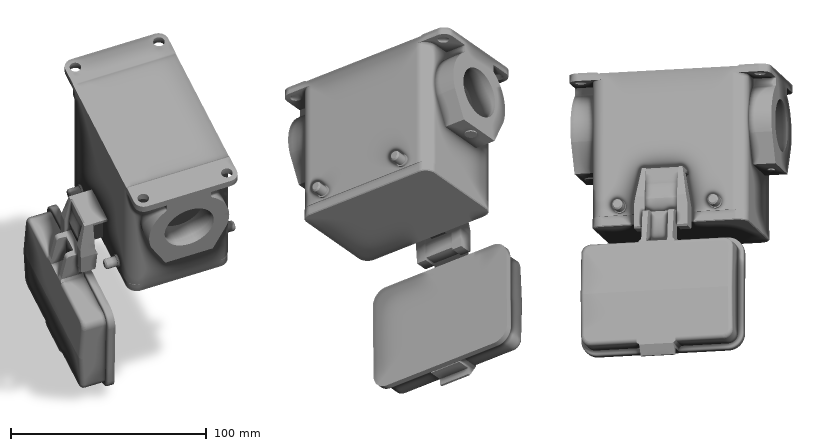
import cadquery as cq
import math


flange_length = 105.5
housing_width = 56.4
flange_thickness = 4.0
flange_radius = 5.3
recess_length = 73.2
recess_depth = 0.6
recess_slope = 1.0
screw_pitch_x = 94.1
screw_pitch_y = 45.9
screw_hole_diameter = 5.9
body_length = 81.8
body_radius = 7.0
body_bottom = -75.6
lip_bottom = -80.9
lip_step = 0.5
lip_radius = 5.9
lip_chamfer = 0.5

entry_centre_z = -26.5
entry_radius = 22.0
entry_neck_half_width = 12.1
entry_neck_fillet = 1.2
entry_shoulder_z = -34.1
entry_flat_z = -49.1
entry_flat_half_width = 13.0
entry_bore_diameter = 27.0
entry_bore_depth = 14.0
dimple_height = 0.6
left_dimple_diameter = 6.5
right_dimple_diameter = 3.7
dimple_inset = 5.5

pin_x = 25.1
pin_z = -71.3
pin_diameter = 5.5
pin_tip_y = 35.6
pin_chamfer = 0.8
collar_diameter = 6.7
collar_length = 1.1

bracket_top = -54.5
bracket_plate_thickness = 1.7
bracket_top_half_width = 10.7
bracket_half_width = 14.1
bracket_inner_half_width = 8.5
bracket_bottom = -86.5
bracket_back_y = -36.1
ear_back_y = -35.0
ear_step_z = -74.7
ear_front_y = -44.2
ear_top_y = -40.9
ear_bend_z = -70.0
ear_chamfer = 1.0
panel_top_y = -39.8
panel_y = -40.6
panel_ridge_y = -41.8
panel_ridge_z = -70.8
panel_bend_z = -62.8
panel_bottom = -79.0
stem_top = -61.0
stem_bottom = -75.3
stem_half_width = 4.6

cover_back_y = -36.5
cover_tilt = -0.7
rim_length = 85.2
rim_top = -93.0
rim_bottom = -151.6
rim_thickness = 4.0
rim_radius = 8.4
rim_fillet = 1.0
shell_length = 79.7
shell_top = -95.8
shell_bottom = -148.8
shell_edge_y = -53.2
shell_ridge_y = -54.5
shell_radius = 5.0
shell_fillet = 2.0

arm_half_width = 8.2
arm_top = -78.5
arm_back_y = -43.1
pivot_bottom = -85.2
arm_top_front_y = -49.6
arm_round = 2.3
arm_front_y = -52.4
arm_front_z = -93.8
groove_front_half_width = 5.6
groove_floor_half_width = 4.8
groove_back_y = -44.8
groove_floor_z = -96.1
groove_front_z = -97.8
catch_half_width = 9.0
catch_bottom = -155.1
catch_step_y = -48.2
catch_tip_width = 1.4
flare_size = 1.2
flare_overlap = 2.3

pick_margin = 0.2

half_width = housing_width / 2


def rounded_block(length, width, top, bottom, radius):
    """Upright block centred on the Z axis with rounded vertical edges."""
    block = cq.Workplane("XY").workplane(offset=bottom).rect(length, width).extrude(top - bottom)
    return block.edges("|Z").fillet(radius)


def side_prism(points, start_x, end_x):
    """Outline given as (y, z) points, extruded along X."""
    return cq.Workplane("YZ").workplane(offset=start_x).polyline(points).close().extrude(end_x - start_x)


def front_prism(points, front_y, back_y):
    """Outline given as (x, z) points, extruded along Y."""
    plane = cq.Workplane("XZ", origin=(0, back_y, 0))
    return plane.polyline(points).close().extrude(back_y - front_y)


def mirrored(points):
    """Close a half outline with its reflection in the vertical axis."""
    return points + [(-x, z) for x, z in reversed(points)]


def make_housing():
    """Flanged box with a shallow recess across its top and a lip at its foot."""
    flange = rounded_block(flange_length, housing_width, 0, -flange_thickness, flange_radius)
    body = rounded_block(body_length, housing_width, -flange_thickness, body_bottom, body_radius)
    lip = rounded_block(body_length, housing_width - 2 * lip_step, body_bottom, lip_bottom, lip_radius)
    lip = lip.faces("<Z").edges().chamfer(lip_chamfer)

    recess_outline = mirrored([
        (recess_length / 2 + recess_slope, 0),
        (recess_length / 2, -recess_depth),
    ])
    recess = front_prism(recess_outline, -half_width, half_width)
    screw_holes = (
        cq.Workplane("XY")
        .rect(screw_pitch_x, screw_pitch_y, forConstruction=True)
        .vertices()
        .circle(screw_hole_diameter / 2)
        .extrude(-flange_thickness)
    )
    return flange.cut(recess).cut(screw_holes).union(body).union(lip)


def make_cable_entry(side, dimple_diameter):
    """Cable boss on one end; side is -1 for the -X end and +1 for the +X end."""
    outer_x = side * flange_length / 2
    boss_length = (flange_length - body_length) / 2
    neck_z = entry_centre_z + math.sqrt(entry_radius**2 - entry_neck_half_width**2)
    shoulder_y = math.sqrt(entry_radius**2 - (entry_shoulder_z - entry_centre_z) ** 2)

    boss = (
        cq.Workplane("YZ", origin=(outer_x, 0, 0))
        .moveTo(entry_neck_half_width, -flange_thickness)
        .lineTo(entry_neck_half_width, neck_z)
        .threePointArc((entry_radius, entry_centre_z), (shoulder_y, entry_shoulder_z))
        .lineTo(entry_flat_half_width, entry_flat_z)
        .lineTo(-entry_flat_half_width, entry_flat_z)
        .lineTo(-shoulder_y, entry_shoulder_z)
        .threePointArc((-entry_radius, entry_centre_z), (-entry_neck_half_width, neck_z))
        .lineTo(-entry_neck_half_width, -flange_thickness)
        .close()
        .extrude(-side * boss_length)
    )
    neck_corners = cq.selectors.BoxSelector(
        (-flange_length, -entry_neck_half_width - pick_margin, neck_z - pick_margin),
        (flange_length, entry_neck_half_width + pick_margin, neck_z + pick_margin),
    )
    boss = boss.edges("|X").edges(neck_corners).fillet(entry_neck_fillet)
    dimple = (
        cq.Workplane("XY", origin=(outer_x - side * dimple_inset, 0, entry_flat_z))
        .circle(dimple_diameter / 2)
        .extrude(-dimple_height)
    )
    return boss.union(dimple)


def make_entry_bore(side):
    """Blind cable hole in the boss on the given end."""
    return (
        cq.Workplane("YZ", origin=(side * flange_length / 2, 0, entry_centre_z))
        .circle(entry_bore_diameter / 2)
        .extrude(-side * entry_bore_depth)
    )


def make_pin(x, side):
    """Collared pin on the wall facing side * Y."""
    plane = cq.Plane(origin=(x, side * half_width, pin_z), xDir=(1, 0, 0), normal=(0, side, 0))
    pin = cq.Workplane(plane).circle(pin_diameter / 2).extrude(pin_tip_y - half_width)
    pin = pin.faces(">Y" if side > 0 else "<Y").chamfer(pin_chamfer)
    collar = cq.Workplane(plane).circle(collar_diameter / 2).extrude(collar_length)
    return pin.union(collar)


def make_bracket():
    """Hinge bracket on the -Y wall: stem, two ears and the panel between them."""
    plate_bottom = bracket_top - bracket_plate_thickness

    stem_outline = mirrored([
        (bracket_top_half_width, bracket_top),
        (bracket_top_half_width, plate_bottom),
        (stem_half_width, stem_top),
        (stem_half_width, stem_bottom),
    ])
    stem = front_prism(stem_outline, bracket_back_y, -half_width)

    ear_side = [
        (bracket_back_y, bracket_top),
        (ear_top_y, bracket_top),
        (ear_front_y, ear_bend_z),
        (ear_front_y, bracket_bottom + ear_chamfer),
        (ear_front_y + ear_chamfer, bracket_bottom),
        (bracket_back_y, bracket_bottom),
        (ear_back_y, ear_step_z),
        (bracket_back_y, ear_step_z),
    ]
    ears_front = mirrored([
        (bracket_top_half_width, bracket_top),
        (bracket_half_width, ear_step_z),
        (bracket_half_width, bracket_bottom),
    ])
    ears = side_prism(ear_side, -bracket_half_width, bracket_half_width)
    ears = ears.intersect(front_prism(ears_front, ear_front_y, ear_back_y))
    slot = cq.Workplane("XY", origin=(0, 0, bracket_bottom))
    slot = slot.rect(2 * bracket_inner_half_width, 2 * housing_width).extrude(bracket_top - bracket_bottom)
    ears = ears.cut(slot)

    panel_outline = [
        (bracket_back_y, bracket_top),
        (panel_top_y, bracket_top),
        (panel_y, bracket_top - (panel_top_y - panel_y)),
        (panel_y, panel_bend_z),
        (panel_ridge_y, panel_ridge_z),
        (panel_y, panel_bottom),
        (bracket_back_y, panel_bottom),
    ]
    panel = side_prism(panel_outline, -bracket_inner_half_width, bracket_inner_half_width)
    return stem.union(panel).union(ears)


def flared_web(half_width, shell_z, end_z):
    """Web of constant width that widens at 45 degrees where it runs into the shell at shell_z."""
    direction = math.copysign(1, end_z - shell_z)
    outline = mirrored([
        (half_width + flare_size, shell_z - direction * flare_overlap),
        (half_width + flare_size, shell_z),
        (half_width, shell_z + direction * flare_size),
        (half_width, end_z),
    ])
    return front_prism(outline, shell_ridge_y, bracket_back_y)


def make_cover():
    """Hinged cover: rim, ridged shell, grooved arm above and catch below."""
    rim_height = rim_top - rim_bottom
    rim_front_y = cover_back_y - rim_thickness
    ridge_z = (shell_top + shell_bottom) / 2
    rim = (
        cq.Workplane("XZ", origin=(0, cover_back_y, (rim_top + rim_bottom) / 2))
        .rect(rim_length, rim_height)
        .extrude(rim_thickness)
        .edges("|Y")
        .fillet(rim_radius)
        .faces("<Y")
        .edges()
        .fillet(rim_fillet)
    )

    shell_outline = [
        (cover_back_y, shell_top),
        (shell_edge_y, shell_top),
        (shell_ridge_y, ridge_z),
        (shell_edge_y, shell_bottom),
        (cover_back_y, shell_bottom),
    ]
    shell = side_prism(shell_outline, -shell_length / 2, shell_length / 2)
    shell = shell.edges("|Y").fillet(shell_radius)
    front_rim = cq.selectors.BoxSelector(
        (-rim_length, shell_ridge_y + pick_margin, rim_bottom),
        (rim_length, shell_edge_y + pick_margin, rim_top),
    )
    shell = shell.edges(front_rim).fillet(shell_fillet)

    arm_outline = [
        (bracket_back_y, arm_top),
        (arm_top_front_y, arm_top),
        (arm_front_y, arm_front_z),
        (shell_edge_y, shell_top),
        (shell_ridge_y, ridge_z),
        (rim_front_y, ridge_z),
        (rim_front_y, rim_top),
        (arm_back_y, rim_top),
        (arm_back_y, pivot_bottom),
        (bracket_back_y, pivot_bottom),
    ]
    arm = side_prism(arm_outline, -rim_length / 2, rim_length / 2)
    top_front_edge = cq.selectors.NearestToPointSelector((0, arm_top_front_y, arm_top))
    arm = arm.edges(top_front_edge).fillet(arm_round)
    arm = arm.intersect(flared_web(arm_half_width, shell_top, arm_top))
    groove_side = [
        (groove_back_y, arm_top),
        (shell_ridge_y, arm_top),
        (shell_ridge_y, groove_front_z),
        (shell_edge_y, groove_front_z),
        (groove_back_y, groove_floor_z),
    ]
    groove_plan = mirrored([
        (groove_front_half_width, shell_edge_y),
        (groove_floor_half_width, groove_back_y),
    ])
    groove = side_prism(groove_side, -arm_half_width, arm_half_width)
    groove_taper = cq.Workplane("XY", origin=(0, 0, groove_front_z)).polyline(groove_plan).close()
    groove = groove.intersect(groove_taper.extrude(arm_top - groove_front_z))

    lower_slope = (shell_edge_y - shell_ridge_y) / (ridge_z - shell_bottom)
    catch_edge_y = shell_edge_y + lower_slope * flare_size
    catch_outline = [
        (rim_front_y, ridge_z),
        (shell_ridge_y, ridge_z),
        (catch_edge_y, shell_bottom - flare_size),
        (catch_step_y - catch_tip_width, catch_bottom),
        (catch_step_y, catch_bottom),
        (catch_step_y, rim_bottom),
        (rim_front_y, rim_bottom),
    ]
    catch = side_prism(catch_outline, -rim_length / 2, rim_length / 2)
    catch = catch.intersect(flared_web(catch_half_width, shell_bottom, catch_bottom))

    cover = rim.union(shell).union(arm).union(catch).cut(groove)
    tilt_start = (0, cover_back_y, rim_top)
    tilt_end = (1, cover_back_y, rim_top)
    return cover.rotate(tilt_start, tilt_end, cover_tilt)


result = make_housing()
for side, dimple_diameter in ((-1, left_dimple_diameter), (1, right_dimple_diameter)):
    result = result.union(make_cable_entry(side, dimple_diameter))
    result = result.cut(make_entry_bore(side))
for x in (-pin_x, pin_x):
    for side in (-1, 1):
        result = result.union(make_pin(x, side))
result = result.union(make_bracket()).union(make_cover())